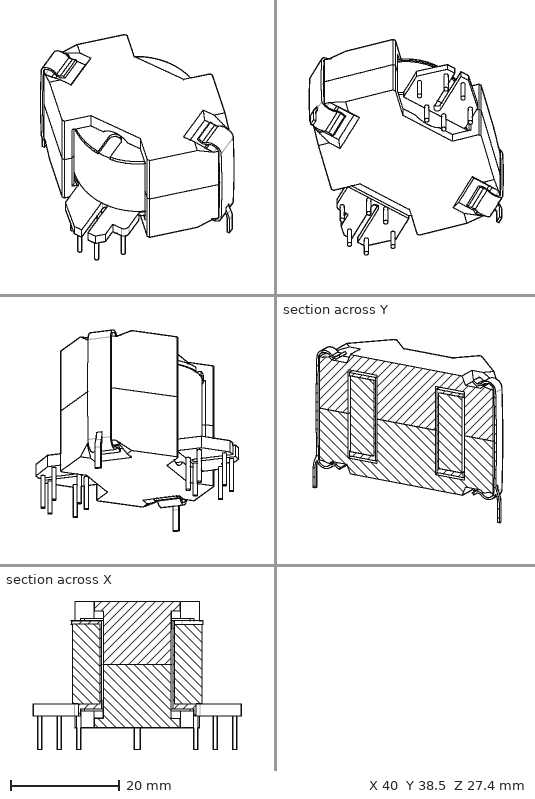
import cadquery as cq
import math

CORE_HALF_HEIGHT = 11.7
CORE_HALF_DEPTH = 11.53
CORE_HALF_LENGTH = 18.65
WALL_SUM = 20.9
NOTCH_HALF_WIDTH = 5.3
NOTCH_Y = 7.95
CAVITY_RADIUS = 12.5
CAVITY_HALF_HEIGHT = 8.55
WINDOW_HALF_WIDTH = 7.8
POST_RADIUS = 12.6 / 2
ARCH_RADIUS = 3.1
ARCH_TOP = 9.9

RECESS_INNER_X = 12.0
RECESS_HALF_WIDTH = 3.6
RECESS_FLOOR_Z = 9.95
RECESS_WALL_RUN = 0.75
LIP_X = 18.0
LIP_Z = 10.13
RIDGE_X = 16.55
RIDGE_Z = 10.45
RIDGE_FOOT_X = 15.97
RAMP_START_X = 15.8
BEYOND = 24.0
BELOW_SEAM = 0.4

BORE_RADIUS = 13.1 / 2
TUBE_WALL = 0.4
FLANGE_RADIUS = 12.25
WINDING_RADIUS = 24.0 / 2
TOP_FLANGE_TOP = 8.15
WINDING_TOP = 7.45
WINDING_BOTTOM = -7.25
LOWER_FLANGE_BOTTOM = -8.2
PLATE_BOTTOM = -9.5
LEAD_SLOT_WIDTH = 2.55
LEAD_SLOT_END_Y = -8.25

PLATE_HALF_WIDTH = 6.5
PLATE_INNER_Y = 10.4
PLATE_OUTER_Y = 38.5 / 2
PLATE_TIP_HALF_WIDTH = 2.25
PLATE_SHOULDER_Y = 15.25
PLATE_SLOT_WIDTH = 1.32
PLATE_SLOT_END_Y = 11.6
KEY_X = 3.65
KEY_FILLET = 1.0

PIN_RADIUS = 0.8 / 2
PIN_BOTTOM = -15.7
PIN_PITCH = 3.6
PIN_PLACES = [(0.5, 3), (1.5, 4), (0.5, 5)]

CLIP_THICKNESS = 0.5
CLIP_WIDTH = 4.5
STRAP_END_X = 19.25
STRAP_MIDDLE_X = 19.4
HOOK_RADIUS = 1.85
HOOK_Z = 9.73
HOOK_ARC_END = math.radians(54)
ARM_FALL = math.radians(10)
ARM_RISE = math.radians(33)
CREASE_X = 15.2
TIP_X = 14.4
TAIL_WIDTH = 1.12
TAIL_OUTER_X = 40.05 / 2
TAIL_TOP = -8.55
TAIL_TOP_X = 19.3
TAIL_INFLECTION_Z = -10.25
TAIL_BEND_END = -11.7


def block(x0, x1, y0, y1, z0, z1):
    return cq.Workplane("XY").box(x1 - x0, y1 - y0, z1 - z0, centered=False).translate((x0, y0, z0))


def cylinder(radius, z0, z1):
    return cq.Workplane("XY").workplane(offset=z0).circle(radius).extrude(z1 - z0)


def xz_prism(outline, width):
    """Extrude a closed XZ outline symmetrically about y = 0."""
    return outline.extrude(width / 2, both=True)


def core_blank():
    notch_run = CORE_HALF_DEPTH - NOTCH_Y
    quarter = [
        (NOTCH_HALF_WIDTH, NOTCH_Y),
        (NOTCH_HALF_WIDTH + notch_run, CORE_HALF_DEPTH),
        (WALL_SUM - CORE_HALF_DEPTH, CORE_HALF_DEPTH),
        (CORE_HALF_LENGTH, WALL_SUM - CORE_HALF_LENGTH),
    ]
    right = quarter + [(x, -y) for x, y in reversed(quarter)]
    left = [(-x, -y) for x, y in right]
    return cq.Workplane("XY").polyline(right + left).close().extrude(CORE_HALF_HEIGHT)


def winding_space():
    """Ring around the centre post, open to both notches, with a lead-out arch under the yoke."""
    arch = (
        cq.Workplane("XZ")
        .center(0, ARCH_TOP - ARCH_RADIUS)
        .circle(ARCH_RADIUS)
        .extrude(BEYOND, both=True)
    )
    post = cylinder(POST_RADIUS, -BELOW_SEAM, CORE_HALF_HEIGHT)
    window = block(
        -WINDOW_HALF_WIDTH, WINDOW_HALF_WIDTH, -BEYOND, BEYOND, -BELOW_SEAM, CAVITY_HALF_HEIGHT
    )
    ring = cylinder(CAVITY_RADIUS, -BELOW_SEAM, CAVITY_HALF_HEIGHT)
    return ring.union(window).union(arch).cut(post)


def clip_recess():
    """Pocket with sloping walls in the +X end; a ridge in it retains the clip."""
    depth = CORE_HALF_HEIGHT - RECESS_FLOOR_Z
    wall_angle = math.degrees(math.atan(RECESS_WALL_RUN / depth))
    pocket = (
        cq.Workplane("XY", origin=(0, 0, CORE_HALF_HEIGHT))
        .center((RECESS_INNER_X + BEYOND) / 2, 0)
        .rect(BEYOND - RECESS_INNER_X, 2 * RECESS_HALF_WIDTH)
        .extrude(-depth, taper=wall_angle)
    )
    ridge = xz_prism(
        cq.Workplane("XZ")
        .polyline([
            (RIDGE_FOOT_X, RECESS_FLOOR_Z),
            (RIDGE_X, RIDGE_Z),
            (LIP_X, LIP_Z),
            (BEYOND, LIP_Z),
            (BEYOND, RECESS_FLOOR_Z),
        ])
        .close(),
        2 * RECESS_HALF_WIDTH,
    )
    return pocket.cut(ridge)


def end_ramp():
    """Ramp running down along the +X +Y diagonal wall to the lip of the recess."""
    crest = (2 * RAMP_START_X - WALL_SUM) / math.sqrt(2)
    foot = (2 * LIP_X - WALL_SUM) / math.sqrt(2)
    wedge = xz_prism(
        cq.Workplane("XZ")
        .polyline([
            (crest, CORE_HALF_HEIGHT),
            (foot, LIP_Z),
            (BEYOND, LIP_Z),
            (BEYOND, CORE_HALF_HEIGHT),
        ])
        .close(),
        2 * BEYOND,
    ).rotate((0, 0, 0), (0, 0, 1), -45)
    side = block(
        RECESS_INNER_X, BEYOND, RECESS_HALF_WIDTH - RECESS_WALL_RUN, BEYOND, LIP_Z, CORE_HALF_HEIGHT
    )
    return wedge.intersect(side)


def make_core_half():
    ramp = end_ramp()
    end_cut = clip_recess().union(ramp).union(ramp.mirror("XZ"))
    return core_blank().cut(winding_space()).cut(end_cut).cut(end_cut.mirror("YZ"))


def terminal_plate():
    """Pin plate on the +Y side, tapering to a narrow tip."""
    outline = [
        (-PLATE_HALF_WIDTH, PLATE_INNER_Y),
        (-PLATE_HALF_WIDTH, PLATE_SHOULDER_Y),
        (-PLATE_TIP_HALF_WIDTH, PLATE_OUTER_Y),
        (PLATE_TIP_HALF_WIDTH, PLATE_OUTER_Y),
        (PLATE_HALF_WIDTH, PLATE_SHOULDER_Y),
        (PLATE_HALF_WIDTH, PLATE_INNER_Y),
    ]
    return (
        cq.Workplane("XY", origin=(0, 0, PLATE_BOTTOM))
        .polyline(outline)
        .close()
        .extrude(WINDING_BOTTOM - PLATE_BOTTOM)
    )


def keyed_plate():
    """The -Y plate, with a polarity notch in its +X corner."""
    notch = block(
        KEY_X, BEYOND, -PLATE_OUTER_Y, -PLATE_SHOULDER_Y, PLATE_BOTTOM, WINDING_BOTTOM
    )
    shoulder = cq.selectors.NearestToPointSelector(
        (PLATE_HALF_WIDTH, -PLATE_SHOULDER_Y, (PLATE_BOTTOM + WINDING_BOTTOM) / 2)
    )
    return terminal_plate().mirror("XZ").cut(notch).edges(shoulder).fillet(KEY_FILLET)


def round_ended_slot(width, end_y, z0, z1):
    """Slot running outward in -Y from a round end centred at end_y."""
    run = block(-width / 2, width / 2, -BEYOND, end_y, z0, z1)
    return run.union(cylinder(width / 2, z0, z1).translate((0, end_y, 0)))


def pin_points():
    return [
        (sx * px * PIN_PITCH, sy * py * PIN_PITCH)
        for px, py in PIN_PLACES
        for sx in (-1, 1)
        for sy in (-1, 1)
    ]


def make_bobbin():
    top_flange = cylinder(FLANGE_RADIUS, WINDING_TOP, TOP_FLANGE_TOP).cut(
        round_ended_slot(LEAD_SLOT_WIDTH, LEAD_SLOT_END_Y, WINDING_TOP, TOP_FLANGE_TOP)
    )
    plate_slot = round_ended_slot(PLATE_SLOT_WIDTH, -PLATE_SLOT_END_Y, PLATE_BOTTOM, WINDING_BOTTOM)
    base = (
        cylinder(FLANGE_RADIUS, LOWER_FLANGE_BOTTOM, WINDING_BOTTOM)
        .union(terminal_plate())
        .union(keyed_plate())
        .cut(plate_slot)
        .cut(plate_slot.mirror("XZ"))
    )
    tube = cylinder(BORE_RADIUS + TUBE_WALL, LOWER_FLANGE_BOTTOM, TOP_FLANGE_TOP)
    pins = (
        cq.Workplane("XY", origin=(0, 0, PIN_BOTTOM))
        .pushPoints(pin_points())
        .circle(PIN_RADIUS)
        .extrude(PLATE_BOTTOM - PIN_BOTTOM)
    )
    bore = cylinder(BORE_RADIUS, LOWER_FLANGE_BOTTOM, TOP_FLANGE_TOP)
    return base.union(top_flange).union(tube).cut(bore).union(pins)


def make_winding():
    tube = cylinder(BORE_RADIUS + TUBE_WALL, WINDING_BOTTOM, WINDING_TOP)
    return cylinder(WINDING_RADIUS, WINDING_BOTTOM, WINDING_TOP).cut(tube)


def clip_band():
    """Bowed strap with a hook at each end, each ending in a V that sits behind the ridge."""
    hook_x = STRAP_END_X - HOOK_RADIUS
    inner_radius = HOOK_RADIUS - CLIP_THICKNESS

    def on_arc(radius, angle):
        return (hook_x - radius * math.sin(angle), HOOK_Z + radius * math.cos(angle))

    def flip(point):
        return (point[0], -point[1])

    def inside(point, slope_before, slope_after):
        """Mitred point on the inner face, below a bend between two slopes of the outer face."""
        mean = (slope_before + slope_after) / 2
        reach = CLIP_THICKNESS / math.cos((slope_before - slope_after) / 2)
        return (point[0] + reach * math.sin(mean), point[1] - reach * math.cos(mean))

    middle = (HOOK_ARC_END - math.pi / 2) / 2
    outer_start, outer_mid = on_arc(HOOK_RADIUS, HOOK_ARC_END), on_arc(HOOK_RADIUS, middle)
    inner_start, inner_mid = on_arc(inner_radius, HOOK_ARC_END), on_arc(inner_radius, middle)
    crease = (CREASE_X, outer_start[1] - (outer_start[0] - CREASE_X) * math.tan(ARM_FALL))
    inner_crease = inside(crease, ARM_FALL, -ARM_RISE)
    tip = (TIP_X, crease[1] + (CREASE_X - TIP_X) * math.tan(ARM_RISE))
    inner_tip = inside(tip, -ARM_RISE, -ARM_RISE)
    outer_end = (STRAP_END_X, HOOK_Z)
    inner_end = (STRAP_END_X - CLIP_THICKNESS, HOOK_Z)
    outline = (
        cq.Workplane("XZ")
        .moveTo(*tip)
        .lineTo(*crease)
        .lineTo(*outer_start)
        .threePointArc(outer_mid, outer_end)
        .threePointArc((STRAP_MIDDLE_X, 0), flip(outer_end))
        .threePointArc(flip(outer_mid), flip(outer_start))
        .lineTo(*flip(crease))
        .lineTo(*flip(tip))
        .lineTo(*flip(inner_tip))
        .lineTo(*flip(inner_crease))
        .lineTo(*flip(inner_start))
        .threePointArc(flip(inner_mid), flip(inner_end))
        .threePointArc((STRAP_MIDDLE_X - CLIP_THICKNESS, 0), inner_end)
        .threePointArc(inner_mid, inner_start)
        .lineTo(*inner_crease)
        .lineTo(*inner_tip)
        .close()
    )
    return xz_prism(outline, CLIP_WIDTH)


def clip_tail():
    """Solder tail leaving the strap in an S-bend, swept along its centre line."""
    straight_x = TAIL_OUTER_X - CLIP_THICKNESS / 2
    strap_x = TAIL_TOP_X - CLIP_THICKNESS / 2
    bend_share = (TAIL_INFLECTION_Z - TAIL_BEND_END) / (TAIL_TOP - TAIL_BEND_END)
    inflection = (straight_x + (strap_x - straight_x) * bend_share, TAIL_INFLECTION_Z)
    path = (
        cq.Workplane("XZ")
        .moveTo(straight_x, PIN_BOTTOM)
        .lineTo(straight_x, TAIL_BEND_END)
        .tangentArcPoint(inflection, relative=False)
        .tangentArcPoint((strap_x, TAIL_TOP), relative=False)
    )
    return (
        cq.Workplane("XY", origin=(straight_x, 0, PIN_BOTTOM))
        .rect(CLIP_THICKNESS, TAIL_WIDTH)
        .sweep(path)
    )


def make_clip():
    return clip_band().union(clip_tail())


core_halves = [make_core_half().rotate((0, 0, 0), (1, 0, 0), turn) for turn in (0, 180)]
bobbin = make_bobbin()
winding = make_winding()
clips = [make_clip().rotate((0, 0, 0), (0, 0, 1), turn) for turn in (0, 180)]

result = cq.Compound.makeCompound([
    *[half.val() for half in core_halves],
    bobbin.val(),
    winding.val(),
    *[clip.val() for clip in clips],
])